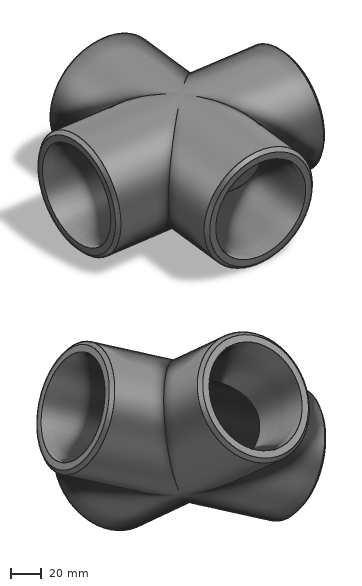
import cadquery as cq

length = 171.7
outer_diameter = 89.0
bore_diameter = 73.8
bevel = 2.5


def centred_cylinder(plane, diameter):
    """Cylinder of the full pipe length, centred on the origin."""
    return cq.Workplane(plane).circle(diameter / 2).extrude(length / 2, both=True)


def bevelled_pipe(plane):
    """Solid pipe body with both end edges bevelled."""
    return centred_cylinder(plane, outer_diameter).edges("%CIRCLE").chamfer(bevel)


body = bevelled_pipe("YZ").union(bevelled_pipe("XZ"))

bores = centred_cylinder("YZ", bore_diameter).union(centred_cylinder("XZ", bore_diameter))

result = body.cut(bores)